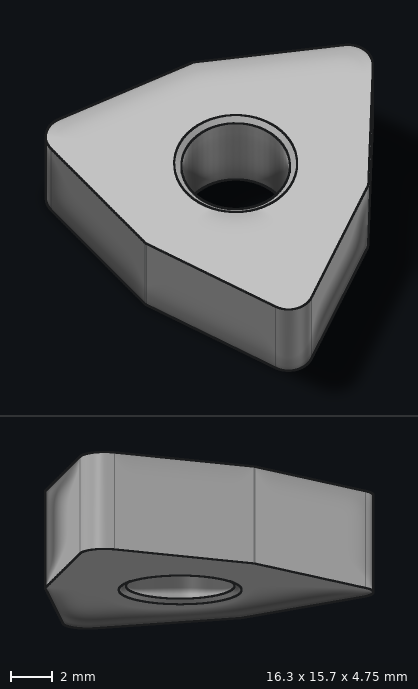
import cadquery as cq
import math

inscribed_radius = 6.35
nose_angle = 80.0
nose_radius = 1.19
waist_radius = 0.23
thickness = 4.75
hole_diameter = 5.18
rim_diameter = 5.86
rim_depth = 0.2
corner_count = 3

corner_pitch = 360.0 / corner_count
nose_distance = inscribed_radius / math.sin(math.radians(nose_angle / 2))
side_tilt = corner_pitch / 2 - (90.0 - nose_angle / 2)
waist_distance = inscribed_radius / math.cos(math.radians(side_tilt))


def polar_point(distance, angle):
    """Return the XY point at a distance and angle (degrees) from the centre."""
    return (
        distance * math.cos(math.radians(angle)),
        distance * math.sin(math.radians(angle)),
    )


def round_upright_edge(body, point, radius):
    """Round the vertical edge that stands at an XY point."""
    edge_middle = (*point, thickness / 2)
    return body.edges("|Z").edges(cq.NearestToPointSelector(edge_middle)).fillet(radius)


def make_body():
    """Extrude the trigon, then round its cutting corners and its waists."""
    noses = []
    waists = []
    outline = []
    for corner in range(corner_count):
        nose_direction = 90.0 + corner * corner_pitch
        nose = polar_point(nose_distance, nose_direction)
        waist = polar_point(waist_distance, nose_direction + corner_pitch / 2)
        noses.append(nose)
        waists.append(waist)
        outline.extend([nose, waist])
    body = cq.Workplane("XY").polyline(outline).close().extrude(thickness)
    for nose in noses:
        body = round_upright_edge(body, nose, nose_radius)
    for waist in waists:
        body = round_upright_edge(body, waist, waist_radius)
    return body


def make_hole():
    """Revolve the space of the through hole, with a conical mouth at each end."""
    hole_radius = hole_diameter / 2
    rim_radius = rim_diameter / 2
    half_section = [
        (0, 0),
        (rim_radius, 0),
        (hole_radius, rim_depth),
        (hole_radius, thickness - rim_depth),
        (rim_radius, thickness),
        (0, thickness),
    ]
    return cq.Workplane("XZ").polyline(half_section).close().revolve(360, (0, 0), (0, 1))


result = make_body().cut(make_hole())